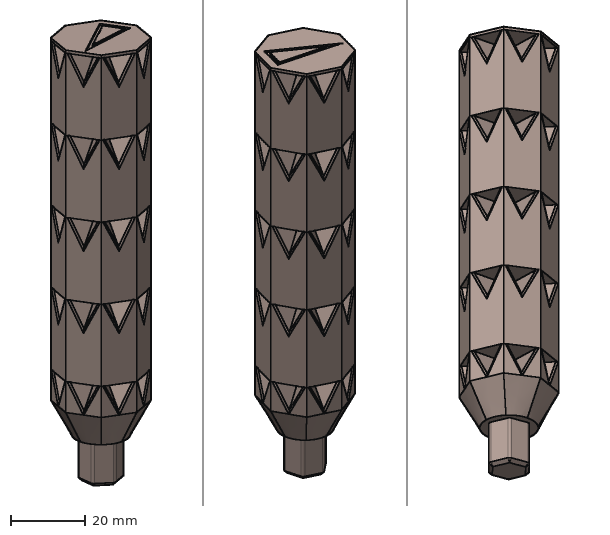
import cadquery as cq
import math

total_length = 127.0
shank_length = 13.0
taper_top = 22.9

grip_flats = 25.0
grip_sides = 8
side_angle = 360 / grip_sides
grip_corners = grip_flats / math.cos(math.pi / grip_sides)

neck_radius = 7.9

shank_flats = 10.9
shank_sides = 6
shank_corners = shank_flats / math.cos(math.pi / shank_sides)
shank_corner_radius = 1.0
tip_chamfer = 1.0

notch_rows = 5
top_row_gap = 0.9
bottom_row_level = 31.8
row_pitch = (total_length - top_row_gap - bottom_row_level) / (notch_rows - 1)
notch_half_width = 4.7
notch_height = 9.0
notch_depth = 10.2
bevel_width = 0.6
bevel_slope_depth = 2.9

mark_base_y = 10.0
mark_length = 21.2
mark_width = 8.9
groove_width = 1.0
groove_depth = 0.5


def prism(sides, corner_diameter, turn, bottom, height):
    """Regular prism standing at the given bottom level."""
    return (
        cq.Workplane("XY", origin=(0, 0, bottom))
        .transformed(rotate=(0, 0, turn))
        .polygon(sides, corner_diameter)
        .extrude(height)
    )


def make_shank():
    """Hexagon with rounded corners and a chamfered tip."""
    shank = prism(shank_sides, shank_corners, 180 / shank_sides, 0, shank_length)
    shank = shank.edges("|Z").fillet(shank_corner_radius)
    return shank.faces("<Z").chamfer(tip_chamfer)


def at_angle(radius, degrees):
    """Point on a circle around the Z axis."""
    angle = math.radians(degrees)
    return (radius * math.cos(angle), radius * math.sin(angle))


def make_neck():
    """Loft from the bottom circle to the octagon under the grip."""
    first_corner = side_angle / 2
    circle = cq.Workplane("XY", origin=(0, 0, shank_length))
    circle = circle.moveTo(*at_angle(neck_radius, first_corner))
    for side in range(1, grip_sides + 1):
        arc_end = first_corner + side * side_angle
        arc_middle = arc_end - side_angle / 2
        circle = circle.threePointArc(at_angle(neck_radius, arc_middle), at_angle(neck_radius, arc_end))
    octagon = (
        cq.Workplane("XY", origin=(0, 0, taper_top))
        .transformed(rotate=(0, 0, first_corner))
        .polygon(grip_sides, grip_corners)
    )
    return cq.Workplane(cq.Solid.makeLoft([circle.wire().val(), octagon.val()]))


def corner_pyramid(half_width, height, depth):
    """Dent in the -Y face: flat ledge at Z = 0, two walls meeting below it."""
    face_y = -grip_flats / 2
    left = cq.Vector(-half_width, face_y, 0)
    right = cq.Vector(half_width, face_y, 0)
    point = cq.Vector(0, face_y, -height)
    deepest = cq.Vector(0, face_y + depth, 0)
    triangles = [
        (left, right, point),
        (left, right, deepest),
        (left, point, deepest),
        (right, point, deepest),
    ]
    faces = [cq.Face.makeFromWires(cq.Wire.makePolygon(t, close=True)) for t in triangles]
    return cq.Workplane(cq.Solid.makeSolid(cq.Shell.makeShell(faces)))


def make_notch():
    """Deep dent whose two slanted rims are bevelled by a shallower dent."""
    bevel = corner_pyramid(notch_half_width, notch_height, bevel_slope_depth)
    meeting_depth = bevel_slope_depth * bevel_width / notch_half_width
    meeting_half_width = notch_half_width - bevel_width
    deep_half_width = meeting_half_width / (1 - meeting_depth / notch_depth)
    deep_height = notch_height * deep_half_width / notch_half_width
    return bevel.union(corner_pyramid(deep_half_width, deep_height, notch_depth))


def triangle(base_y, length, width):
    """Triangular plate under the top face, its point towards -Y."""
    return (
        cq.Workplane("XY", origin=(0, 0, total_length - groove_depth))
        .polyline([(-width / 2, base_y), (width / 2, base_y), (0, base_y - length)])
        .close()
        .extrude(groove_depth)
    )


def make_groove():
    """Triangular ring of even width around an island left level with the top face."""
    side_slope = mark_width / 2 / mark_length
    side_shift = groove_width * (side_slope + math.hypot(1, side_slope))
    island_width = mark_width - 2 * side_shift
    island_length = mark_length * island_width / mark_width
    island = triangle(mark_base_y - groove_width, island_length, island_width)
    return triangle(mark_base_y, mark_length, mark_width).cut(island)


def make_body():
    grip = prism(grip_sides, grip_corners, side_angle / 2, taper_top, total_length - taper_top)
    return grip.union(make_neck()).union(make_shank())


result = make_body()
notch = make_notch()
for row in range(notch_rows):
    ledge = bottom_row_level + row * row_pitch
    for side in range(grip_sides):
        cutter = notch.rotate((0, 0, 0), (0, 0, 1), side * side_angle).translate((0, 0, ledge))
        result = result.cut(cutter)
result = result.cut(make_groove()).solids()